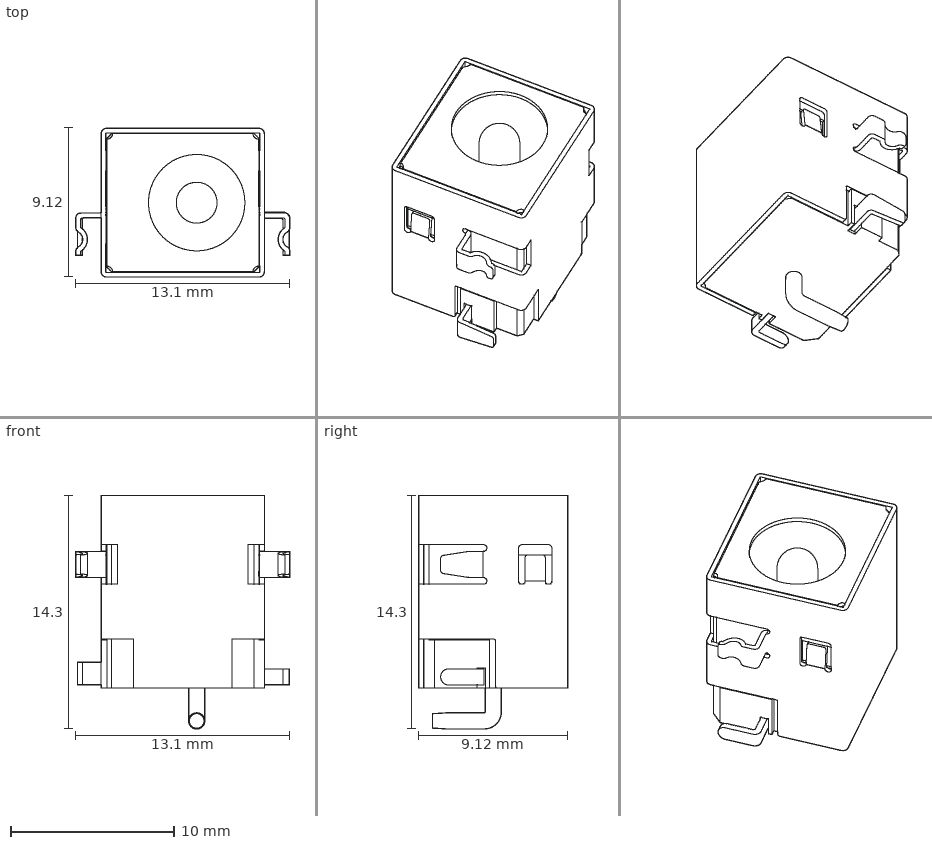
import cadquery as cq
import math


LEFT, RIGHT = -1, 1

shell_width = 10.0
shell_depth = 9.12
shell_height = 11.8
sheet = 0.3
shell_corner_radius = 0.35
shell_side = shell_width / 2
shell_front = -shell_depth / 2
inner_side = shell_side - sheet

side_clearance = 0.05
front_clearance = 0.02
housing_side = inner_side - side_clearance
housing_front = shell_front + sheet + front_clearance
housing_corner_chamfer = 0.3
housing_edge_radius = 0.2
corner_notch_radius = 0.36
corner_notch_depth = 0.3

socket_x = 0.85
socket_radius = 2.95
socket_floor = 2.8
socket_lip = 0.3
sleeve_wall = 0.3
sleeve_top = shell_height - socket_lip

pin_radius = 1.25
pin_dome_center = 10.35
wire_radius = 0.5
wire_bend_radius = 0.55
wire_drop = 2.0
wire_cone_start = -2.88
wire_tip = -3.72
wire_tip_radius = 0.45

relief_radius = 0.2
window_bottom = 6.36
window_top = 8.78
window_corner_x = 4.0
prong_root = -0.59
prong_arm_back = -0.63
prong_outer = 6.55
prong_half_height = 0.8
prong_taper_start = -1.5
prong_tip_half_height = 0.53
prong_center = (window_bottom + window_top) / 2
tab_tip = -3.22
tip_corner_radius = 0.2
bend_inner_radius = 0.1
bump_center_y = -2.25
bump_center_offset = 6.665
bump_inner_radius = 0.535

latch_back = 3.58
latch_front = 1.55
latch_tip = 8.15
latch_bend = 6.42
latch_lean = 0.2
latch_tip_radius = 0.15
latch_width = latch_back - latch_front - 4 * relief_radius
latch_center_y = (latch_back + latch_front) / 2

foot_window_back = 0.13
foot_window_height = 3.0
foot_window_corner_x = 3.0
foot_window_radius = 0.1
foot_flare_radius = 0.15
pad_height = foot_window_height - 0.05
pad_back = -0.24
left_pad_front = -2.53
chamfer_sum = housing_side - housing_corner_chamfer - housing_front
right_pad_front = shell_side - chamfer_sum

terminal_bottom = 0.2
terminal_root = 4.3
slot_back = -0.48
slot_front = -1.0
slot_headroom = 0.05
left_terminal_height = 1.4
left_terminal_outer = 6.45
left_terminal_tip_half_height = 0.5
right_terminal_height = 0.98
right_terminal_outer = 6.52
right_terminal_sheet = 0.4
right_terminal_back = -0.57
right_terminal_corner_radius = 0.485


def block(x0, x1, y0, y1, z0, z1):
    """Box between the given limits, which may come in either order."""
    center = ((x0 + x1) / 2, (y0 + y1) / 2, (z0 + z1) / 2)
    return cq.Workplane("XY").box(abs(x1 - x0), abs(y1 - y0), abs(z1 - z0)).translate(center)


def cylinder_x(x0, x1, y, z, radius):
    """Cylinder along X."""
    return cq.Workplane("YZ", origin=(x0, 0, 0)).center(y, z).circle(radius).extrude(x1 - x0)


def on_side(part, side):
    """Put a part drawn on the +X side onto the given side."""
    if side == LEFT:
        return part.mirror("YZ")
    return part


def bent_strip(points, z_center, height, bends):
    """Upright strip of constant height; bends lists (corner, radius) pairs to round."""
    strip = cq.Workplane("XY").polyline(points).close().extrude(height)
    strip = strip.translate((0, 0, z_center - height / 2))
    for (x, y), radius in bends:
        strip = strip.edges(cq.selectors.NearestToPointSelector((x, y, z_center))).fillet(radius)
    return strip


def tapered_outline(z_center, half_height, taper_start, tip_half_height, corner_radius):
    """Side outline of a tab, narrowing to a rounded tip, as a block to intersect with."""
    outline = [
        (0, half_height),
        (taper_start, half_height),
        (tab_tip, tip_half_height),
        (tab_tip, -tip_half_height),
        (taper_start, -half_height),
        (0, -half_height),
    ]
    tab = cq.Workplane("YZ").polyline(outline).close().extrude(2 * shell_width)
    return tab.edges("|X").edges("<Y").fillet(corner_radius).translate((0, 0, z_center))


def prong():
    """Prong on the +X side: out from the shell, forward, with a curved bump towards the shell."""
    arm_front = prong_arm_back - sheet
    leg_inner = prong_outer - sheet
    wall_end = prong_root + relief_radius
    points = [
        (inner_side, wall_end),
        (shell_side, wall_end),
        (shell_side, prong_arm_back),
        (prong_outer, prong_arm_back),
        (prong_outer, tab_tip),
        (leg_inner, tab_tip),
        (leg_inner, arm_front),
        (inner_side, arm_front),
    ]
    bends = [
        ((shell_side, prong_arm_back), bend_inner_radius),
        ((inner_side, arm_front), sheet),
        ((prong_outer, prong_arm_back), sheet),
        ((leg_inner, arm_front), bend_inner_radius),
    ]
    height = 2 * prong_half_height
    strip = bent_strip(points, prong_center, height, bends)
    z_bottom = prong_center - prong_half_height
    bump_axis = cq.Workplane("XY", origin=(bump_center_offset, bump_center_y, z_bottom))
    bump = bump_axis.circle(bump_inner_radius + sheet).extrude(height)
    bump = bump.intersect(block(shell_side, prong_outer, 0, tab_tip, z_bottom, z_bottom + height))
    strip = strip.union(bump).cut(bump_axis.circle(bump_inner_radius).extrude(height))
    bump_half_length = math.sqrt(bump_inner_radius**2 - (bump_center_offset - prong_outer) ** 2)
    for end in (-1, 1):
        lip = (prong_outer, bump_center_y + end * bump_half_length, prong_center)
        strip = strip.edges(cq.selectors.NearestToPointSelector(lip)).fillet(sheet)
    return strip.intersect(
        tapered_outline(
            prong_center, prong_half_height, prong_taper_start, prong_tip_half_height, tip_corner_radius
        )
    )


def prong_window():
    """Opening around a prong, wrapping the front corner, with round-ended reliefs at its root."""
    beyond = shell_side + sheet
    front = shell_front - sheet
    window = block(window_corner_x, beyond, prong_root, front, window_bottom, window_top)
    for z in (window_bottom + relief_radius, window_top - relief_radius):
        window = window.union(cylinder_x(window_corner_x, beyond, prong_root, z, relief_radius))
    return window


def latch_window():
    """Opening around a latch tongue, with round-ended reliefs at its foot."""
    relief_z = window_bottom + relief_radius
    beyond = shell_side + sheet
    window = block(housing_side, beyond, latch_front, latch_back, relief_z, window_top)
    window = window.edges("|X").edges(">Z").fillet(relief_radius)
    for y in (latch_front + relief_radius, latch_back - relief_radius):
        window = window.union(cylinder_x(housing_side, beyond, y, relief_z, relief_radius))
    return window


def latch_tongue():
    """Tongue leaning into the housing pocket."""
    profile = [
        (inner_side, window_bottom),
        (shell_side, window_bottom),
        (shell_side, latch_bend),
        (shell_side - latch_lean, latch_tip),
        (inner_side - latch_lean, latch_tip),
        (inner_side, latch_bend),
    ]
    foot = block(
        inner_side,
        shell_side,
        latch_center_y - latch_width / 2,
        latch_center_y + latch_width / 2,
        window_bottom,
        window_bottom + relief_radius,
    )
    tongue = cq.Workplane("XZ").polyline(profile).close().extrude(latch_width / 2, both=True)
    tongue = tongue.edges(">Z").edges("|X").fillet(latch_tip_radius)
    return tongue.translate((0, latch_center_y, 0)).union(foot)


def foot_window():
    """Opening at the foot of the shell, wrapping the front corner, with a rounded lower end."""
    beyond = shell_side + sheet
    front = shell_front - sheet
    window = block(foot_window_corner_x, beyond, foot_window_back, front, 0, foot_window_height)
    window = window.edges("|X").edges(">Y and >Z").fillet(foot_window_radius)
    flare_back = foot_window_back + foot_flare_radius
    flare = block(foot_window_corner_x, beyond, foot_window_back, flare_back, 0, foot_flare_radius)
    rounding = cylinder_x(foot_window_corner_x, beyond, flare_back, foot_flare_radius, foot_flare_radius)
    return window.union(flare.cut(rounding))


def make_shell():
    """Open-ended shell with its prongs and latch tongues bent out of the side walls."""
    shell = cq.Workplane("XY").rect(shell_width, shell_depth).extrude(shell_height)
    shell = shell.edges("|Z").fillet(shell_corner_radius)
    bore = cq.Workplane("XY").rect(2 * inner_side, shell_depth - 2 * sheet).extrude(shell_height)
    shell = shell.cut(bore)
    for side in (LEFT, RIGHT):
        for opening in (prong_window(), latch_window(), foot_window()):
            shell = shell.cut(on_side(opening, side))
        for tab in (prong(), latch_tongue()):
            shell = shell.union(on_side(tab, side))
    return shell


def terminal_slot(height):
    """Slot open at the underside that takes the root of a terminal on the +X side."""
    top = terminal_bottom + height + slot_headroom
    return block(terminal_root, shell_side, slot_back, slot_front, 0, top)


def make_housing():
    housing = cq.Workplane("XY").rect(2 * housing_side, -2 * housing_front).extrude(shell_height)
    housing = housing.edges("|Z").chamfer(housing_corner_chamfer)
    housing = housing.faces(">Z").edges("|X").fillet(housing_edge_radius)
    notches = cq.Workplane("XY", origin=(0, 0, shell_height - corner_notch_depth))
    notches = notches.rect(2 * housing_side, -2 * housing_front, forConstruction=True).vertices()
    housing = housing.cut(notches.circle(corner_notch_radius).extrude(corner_notch_depth))

    left_pad = block(-housing_side, -shell_side, pad_back, left_pad_front, 0, pad_height)
    right_pad_points = [
        (housing_side, pad_back),
        (shell_side, pad_back),
        (shell_side, right_pad_front),
        (housing_side, housing_side - chamfer_sum),
    ]
    right_pad = cq.Workplane("XY").polyline(right_pad_points).close().extrude(pad_height)
    housing = housing.union(left_pad).union(right_pad)

    pocket = block(
        inner_side - latch_lean, shell_side, latch_front, latch_back, window_bottom, latch_tip
    )
    for side in (LEFT, RIGHT):
        housing = housing.cut(on_side(pocket, side))
    housing = housing.cut(on_side(terminal_slot(left_terminal_height), LEFT))
    housing = housing.cut(on_side(terminal_slot(right_terminal_height), RIGHT))

    socket = cq.Workplane("XY", origin=(socket_x, 0, socket_floor))
    lip_hole = socket.circle(socket_radius).extrude(shell_height - socket_floor)
    sleeve_seat = socket.circle(socket_radius + sleeve_wall).extrude(sleeve_top - socket_floor)
    wire_hole = cq.Workplane("XY").center(socket_x, 0).circle(wire_radius).extrude(socket_floor)
    return housing.cut(lip_hole).cut(sleeve_seat).cut(wire_hole)


def make_sleeve():
    socket = cq.Workplane("XY", origin=(socket_x, 0, socket_floor))
    return socket.circle(socket_radius + sleeve_wall).circle(socket_radius).extrude(sleeve_top - socket_floor)


def make_pin():
    """Domed post in the socket, on a wire that leaves below and bends to the front."""
    post = cq.Workplane("XY", origin=(socket_x, 0, socket_floor)).circle(pin_radius)
    post = post.extrude(pin_dome_center - socket_floor)
    dome = cq.Workplane("XY", origin=(socket_x, 0, pin_dome_center)).sphere(pin_radius)

    bend_top = wire_bend_radius - wire_drop
    wire = cq.Workplane("XY", origin=(socket_x, 0, bend_top)).circle(wire_radius)
    wire = wire.extrude(socket_floor - bend_top)
    bend = cq.Workplane("XY", origin=(socket_x, 0, bend_top)).circle(wire_radius)
    bend = bend.revolve(90, (1, -wire_bend_radius, 0), (-1, -wire_bend_radius, 0))
    foot = cq.Workplane("XZ", origin=(socket_x, -wire_bend_radius, -wire_drop)).circle(wire_radius)
    foot = foot.extrude(-wire_bend_radius - wire_cone_start)
    cone = cq.Workplane("XZ", origin=(socket_x, wire_cone_start, -wire_drop)).circle(wire_radius)
    cone = cone.workplane(offset=wire_cone_start - wire_tip).circle(wire_tip_radius).loft()
    return post.union(dome).union(wire).union(bend).union(foot).union(cone)


def make_terminal(side, height, outer, thickness, arm_back, tip_half_height, corner_radius):
    """L-shaped terminal: out of its housing slot, then forward to a narrowed tip."""
    z_center = terminal_bottom + height / 2
    arm_front = arm_back - thickness
    leg_inner = outer - thickness
    points = [
        (terminal_root, arm_back),
        (outer, arm_back),
        (outer, tab_tip),
        (leg_inner, tab_tip),
        (leg_inner, arm_front),
        (terminal_root, arm_front),
    ]
    bends = [((outer, arm_back), thickness), ((leg_inner, arm_front), bend_inner_radius)]
    strip = bent_strip(points, z_center, height, bends)
    outline = tapered_outline(z_center, height / 2, slot_front, tip_half_height, corner_radius)
    return on_side(strip.intersect(outline), side)


shell = make_shell()
housing = make_housing()
sleeve = make_sleeve()
pin = make_pin()
left_terminal = make_terminal(
    LEFT,
    left_terminal_height,
    left_terminal_outer,
    sheet,
    prong_arm_back,
    left_terminal_tip_half_height,
    tip_corner_radius,
)
right_terminal = make_terminal(
    RIGHT,
    right_terminal_height,
    right_terminal_outer,
    right_terminal_sheet,
    right_terminal_back,
    right_terminal_height / 2,
    right_terminal_corner_radius,
)

bodies = [shell, housing, sleeve, pin, left_terminal, right_terminal]
result = cq.Compound.makeCompound([body.solids().val() for body in bodies])